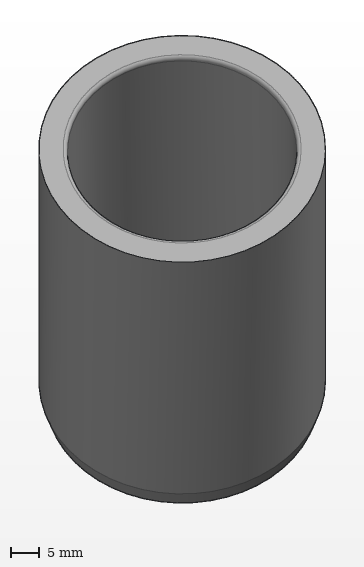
import cadquery as cq
import math

length = 70.0
outer_diameter = 50.0
bore_diameter = 40.0
lead_in_height = 4.0
lead_in_angle = 15.0
bore_rounding = 0.8

outer_radius = outer_diameter / 2
bore_radius = bore_diameter / 2
lead_in_inset = lead_in_height * math.tan(math.radians(lead_in_angle))

half_section = (
    cq.Workplane("XZ")
    .moveTo(bore_radius, 0)
    .lineTo(outer_radius - lead_in_inset, 0)
    .lineTo(outer_radius, lead_in_height)
    .lineTo(outer_radius, length)
    .lineTo(bore_radius + bore_rounding, length)
    .radiusArc((bore_radius, length - bore_rounding), -bore_rounding)
    .close()
)

result = half_section.revolve(360, (0, 0), (0, 1))